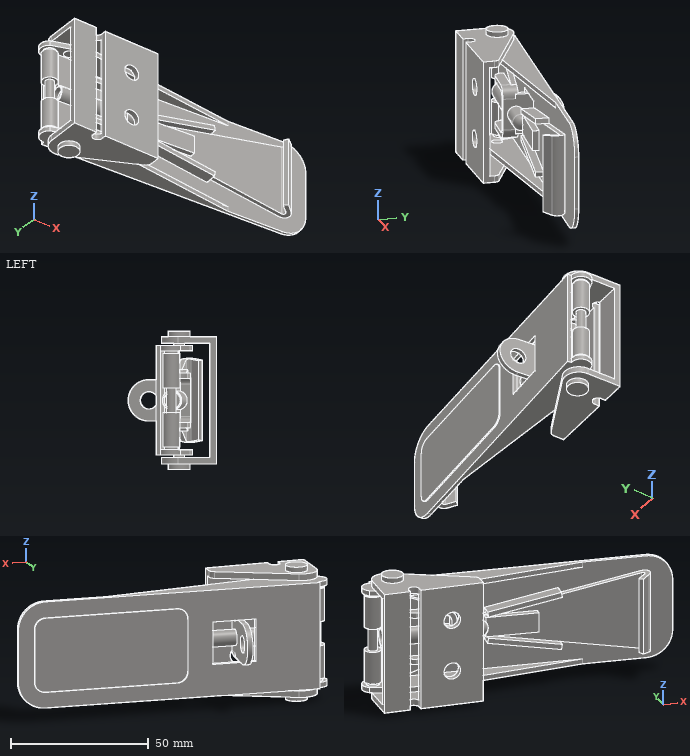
import cadquery as cq
import math


BASE_LENGTH = 38.0
BASE_WIDTH = 46.5
BASE_SHEET = 2.5
WALL_HEIGHT = 20.1
WALL_NOSE_RADIUS = 6.0
WALL_END_HEIGHT = 5.7
WALL_END_FILLET = 2.4
SLOT_X = 12.0
SLOT_WIDTH = 4.0
SLOT_HEIGHT = 4.0
SCREW_HOLE_X = 26.0
SCREW_HOLE_Z = 9.9
SCREW_HOLE_DIAMETER = 6.3

RIVET_X = 7.6
RIVET_Y = 13.6
RIVET_HEAD_DIAMETER = 8.0
RIVET_HEAD_HEIGHT = 2.0
RIVET_SHANK_DIAMETER = 4.0

PIN_X = 1.0
PIN_Y = 16.4
PIN_DIAMETER = 3.5
COLLAR_DIAMETER = 5.0

LEVER_TILT = 3.58
LEVER_WIDTH = 40.0
LEVER_START = 0
LEVER_END = 114.1
LEVER_BACK = 5.5
LEVER_SHEET = 1.5
LEVER_CORNER_RADIUS = 10.0
FLANGE_SHEET = 2.0
FLANGE_NOSE_RADIUS = 4.0
FLANGE_NOSE_END_ANGLE = 239
FLANGE_LOW_X = 12.3
FLANGE_LOW_Y = -7.2
FLANGE_LOW_FILLET = 16.5
FLANGE_TIP_X = 80.2
WINDOW_START = 24.4
WINDOW_END = 40.6
WINDOW_WIDTH = 16.0
PAD_START = 50.1
PAD_MARGIN = 6.0
PAD_HEIGHT = 0.5

BRACKET_TILT = 4.5
BRACKET_SHEET = 2.0
BARREL_DIAMETER = 6.3
BARREL_INNER_Z = 4.5
BARREL_OUTER_Z = 17.0
TAPER_START = 7.6
TAPER_END = 26.7
STIFFENER_START = 12.4
STIFFENER_END = 30.5
STIFFENER_WIDTH = 20.1
STIFFENER_BOTTOM = -4.7
STIFFENER_BEND_RADIUS = 4.1
STIFFENER_END_FILLET = 3.0
TAB_RADIUS = 7.6
TAB_HOLE_Y = 10.5
TAB_HOLE_DIAMETER = 6.3
TUBE_START = 3.1
TUBE_DIAMETER = 7.1

SCREW_DIAMETER = 6.0
SCREW_START = 5.3
SCREW_TIP = 43.3

HOOK_START = 42.5
HOOK_MIDDLE_Y = 3.5
HOOK_SHEET = 2.0
HOOK_START_WIDTH = 7.9
HOOK_END_WIDTH = 30.7
CURL_X = 101.5
CURL_INNER_RADIUS = 1.0
CURL_TURN = 135
LIP_LENGTH = 4.0
RIB_START = 43.4
RIB_END = 71.1
RIB_DEPTH = 5.0
RIB_SHEET = 2.0
BLOCK_LENGTH = 20.0
BLOCK_WIDTH = 7.6
BLOCK_HEIGHT = 2.4

LEVER_UNDERSIDE = LEVER_BACK - LEVER_SHEET
FLANGE_INNER_Z = LEVER_WIDTH / 2 - FLANGE_SHEET
HOOK_TOP = HOOK_MIDDLE_Y + HOOK_SHEET / 2
HOOK_UNDERSIDE = HOOK_MIDDLE_Y - HOOK_SHEET / 2
CURL_OUTER_RADIUS = CURL_INNER_RADIUS + HOOK_SHEET
CURL_Y = HOOK_UNDERSIDE - CURL_INNER_RADIUS
HOOK_END = CURL_X + CURL_OUTER_RADIUS
HOOK_FLARE = (HOOK_END_WIDTH - HOOK_START_WIDTH) / 2 / (HOOK_END - HOOK_START)


def on_circle(x, y, radius, angle):
    """Point on a circle about (x, y) at an angle in degrees from +X."""
    turn = math.radians(angle)
    return (x + radius * math.cos(turn), y + radius * math.sin(turn))


def box(x0, x1, y0, y1, z0, z1):
    return cq.Workplane("XY").box(x1 - x0, y1 - y0, z1 - z0, centered=False).translate((x0, y0, z0))


def disc(x, y, diameter, z0, z1):
    """Cylinder along Z."""
    return cq.Workplane("XY", origin=(x, y, z0)).circle(diameter / 2).extrude(z1 - z0)


def rod(diameter, x0, x1):
    """Cylinder along X, on the axis through the pin."""
    return cq.Workplane("YZ", origin=(x0, 0, 0)).circle(diameter / 2).extrude(x1 - x0)


def along_y(y0):
    """Workplane for plan outlines in (x, z), extruded towards +Y from y0 by a negative distance."""
    return cq.Workplane("XZ", origin=(0, y0, 0))


def hang_on_pin(body, tilt):
    """Move a body drawn around the pin axis to its place, sloping down along +X."""
    return body.rotate((0, 0, 0), (0, 0, 1), -tilt).translate((PIN_X, PIN_Y, 0))


def mirrored_pair(body):
    """A body and its mirror image on the other side of Z = 0."""
    return cq.Workplane(cq.Compound.makeCompound([body.val(), body.mirror("XY").val()]))


def make_base():
    nose_y = WALL_HEIGHT - WALL_NOSE_RADIUS
    reach = BASE_LENGTH - WALL_NOSE_RADIUS
    drop = nose_y - WALL_END_HEIGHT
    slope = math.degrees(math.asin(WALL_NOSE_RADIUS / math.hypot(reach, drop)) + math.atan2(drop, reach))
    tangent = on_circle(WALL_NOSE_RADIUS, nose_y, WALL_NOSE_RADIUS, 90 - slope)
    nose_middle = on_circle(WALL_NOSE_RADIUS, nose_y, WALL_NOSE_RADIUS, 135 - slope / 2)
    base = (
        cq.Workplane("XY")
        .moveTo(0, 0)
        .lineTo(0, nose_y)
        .threePointArc(nose_middle, tangent)
        .lineTo(BASE_LENGTH, WALL_END_HEIGHT)
        .lineTo(BASE_LENGTH, 0)
        .close()
        .extrude(BASE_WIDTH / 2, both=True)
    )
    far_top = cq.selectors.NearestToPointSelector((BASE_LENGTH, WALL_END_HEIGHT, 0))
    base = base.edges(far_top).fillet(WALL_END_FILLET)

    inner_z = BASE_WIDTH / 2 - BASE_SHEET
    base = base.cut(box(0, BASE_LENGTH, BASE_SHEET, WALL_HEIGHT, -inner_z, inner_z))

    slot_round_y = SLOT_HEIGHT - SLOT_WIDTH / 2
    slot = disc(SLOT_X, slot_round_y, SLOT_WIDTH, -BASE_WIDTH / 2, BASE_WIDTH / 2)
    slot = slot.union(
        box(SLOT_X - SLOT_WIDTH / 2, SLOT_X + SLOT_WIDTH / 2, 0, slot_round_y, -BASE_WIDTH / 2, BASE_WIDTH / 2)
    )
    base = base.cut(slot)

    screw_holes = (
        along_y(0)
        .pushPoints([(SCREW_HOLE_X, -SCREW_HOLE_Z), (SCREW_HOLE_X, SCREW_HOLE_Z)])
        .circle(SCREW_HOLE_DIAMETER / 2)
        .extrude(-BASE_SHEET)
    )
    base = base.cut(screw_holes)

    outer_z = BASE_WIDTH / 2
    head = disc(RIVET_X, RIVET_Y, RIVET_HEAD_DIAMETER, outer_z, outer_z + RIVET_HEAD_HEIGHT)
    shank = disc(RIVET_X, RIVET_Y, RIVET_SHANK_DIAMETER, FLANGE_INNER_Z, outer_z)
    return base.union(mirrored_pair(head.union(shank)))


def make_lever():
    plate = box(LEVER_START, LEVER_END, LEVER_UNDERSIDE, LEVER_BACK, -LEVER_WIDTH / 2, LEVER_WIDTH / 2)
    plate = plate.edges("|Y and >X").fillet(LEVER_CORNER_RADIUS)
    plate = plate.cut(
        box(WINDOW_START, WINDOW_END, LEVER_UNDERSIDE, LEVER_BACK, -WINDOW_WIDTH / 2, WINDOW_WIDTH / 2)
    )

    pad_z = LEVER_WIDTH / 2 - PAD_MARGIN
    pad = box(PAD_START, LEVER_END - PAD_MARGIN, LEVER_BACK, LEVER_BACK + PAD_HEIGHT, -pad_z, pad_z)
    pad = pad.edges("|Y").fillet(LEVER_CORNER_RADIUS - PAD_MARGIN)

    flange = (
        cq.Workplane("XY", origin=(0, 0, FLANGE_INNER_Z))
        .moveTo(FLANGE_TIP_X, FLANGE_NOSE_RADIUS)
        .lineTo(0, FLANGE_NOSE_RADIUS)
        .threePointArc(
            (-FLANGE_NOSE_RADIUS, 0),
            on_circle(0, 0, FLANGE_NOSE_RADIUS, FLANGE_NOSE_END_ANGLE),
        )
        .lineTo(FLANGE_LOW_X, FLANGE_LOW_Y)
        .close()
        .extrude(FLANGE_SHEET)
    )
    flange = flange.edges("|Z and <Y").fillet(FLANGE_LOW_FILLET)
    collar = disc(0, 0, COLLAR_DIAMETER, BARREL_OUTER_Z, FLANGE_INNER_Z)
    pin = disc(0, 0, PIN_DIAMETER, -FLANGE_INNER_Z, FLANGE_INNER_Z)
    lever = plate.union(pad).union(mirrored_pair(flange)).union(mirrored_pair(collar)).union(pin)
    lever = hang_on_pin(lever, LEVER_TILT)

    rivet_holes = disc(RIVET_X, RIVET_Y, RIVET_SHANK_DIAMETER, -LEVER_WIDTH / 2, LEVER_WIDTH / 2)
    return lever.cut(rivet_holes)


def make_bracket():
    plate_top = BRACKET_SHEET / 2
    half_width = STIFFENER_WIDTH / 2
    plate = (
        along_y(-plate_top)
        .polyline(
            [
                (0, BARREL_OUTER_Z),
                (TAPER_START, BARREL_OUTER_Z),
                (TAPER_END, half_width),
                (TAPER_END, -half_width),
                (TAPER_START, -BARREL_OUTER_Z),
                (0, -BARREL_OUTER_Z),
            ]
        )
        .close()
        .extrude(-BRACKET_SHEET)
    )
    notch = box(0, TUBE_START, -plate_top, plate_top, -BARREL_INNER_Z, BARREL_INNER_Z)
    barrel = disc(0, 0, BARREL_DIAMETER, BARREL_INNER_Z, BARREL_OUTER_Z)

    outer = box(STIFFENER_START, STIFFENER_END, STIFFENER_BOTTOM, plate_top, -half_width, half_width)
    outer = outer.edges("|Y and >X").fillet(STIFFENER_BEND_RADIUS)
    outer = outer.edges("|Z and <X and <Y").fillet(STIFFENER_END_FILLET)
    inner_z = half_width - BRACKET_SHEET
    web_start = STIFFENER_END - BRACKET_SHEET
    hollow = box(STIFFENER_START, web_start, STIFFENER_BOTTOM, -plate_top, -inner_z, inner_z)
    hollow = hollow.edges("|Y and >X").fillet(STIFFENER_BEND_RADIUS - BRACKET_SHEET)
    stiffener = outer.cut(hollow)

    tab = box(web_start, STIFFENER_END, 0, TAB_HOLE_Y, -TAB_RADIUS, TAB_RADIUS)
    eye = cq.Workplane("YZ", origin=(web_start, TAB_HOLE_Y, 0))
    tab = tab.union(eye.circle(TAB_RADIUS).extrude(BRACKET_SHEET))
    tab = tab.cut(eye.circle(TAB_HOLE_DIAMETER / 2).extrude(BRACKET_SHEET))

    bracket = plate.cut(notch).union(mirrored_pair(barrel)).union(stiffener).union(tab)
    bracket = bracket.union(rod(TUBE_DIAMETER, TUBE_START, web_start))
    bracket = bracket.cut(rod(SCREW_DIAMETER, TUBE_START, STIFFENER_END))
    bracket = bracket.cut(disc(0, 0, PIN_DIAMETER, -BARREL_OUTER_Z, BARREL_OUTER_Z))
    return hang_on_pin(bracket, BRACKET_TILT)


def make_screw():
    screw = rod(SCREW_DIAMETER, SCREW_START, SCREW_TIP)
    screw = screw.intersect(
        rod(SCREW_DIAMETER, SCREW_START, SCREW_TIP - SCREW_DIAMETER / 2).union(
            cq.Workplane("XY").sphere(SCREW_DIAMETER / 2).translate((SCREW_TIP - SCREW_DIAMETER / 2, 0, 0))
        )
    )
    return hang_on_pin(screw, BRACKET_TILT)


def make_hook(screw):
    lip_angle = 90 - CURL_TURN
    mid_angle = 90 - CURL_TURN / 2
    outer_end = on_circle(CURL_X, CURL_Y, CURL_OUTER_RADIUS, lip_angle)
    inner_end = on_circle(CURL_X, CURL_Y, CURL_INNER_RADIUS, lip_angle)
    lip_outer = on_circle(*outer_end, LIP_LENGTH, lip_angle - 90)
    lip_inner = on_circle(*inner_end, LIP_LENGTH, lip_angle - 90)
    strip = (
        cq.Workplane("XY")
        .moveTo(HOOK_START, HOOK_UNDERSIDE)
        .lineTo(HOOK_START, HOOK_TOP)
        .lineTo(CURL_X, HOOK_TOP)
        .threePointArc(on_circle(CURL_X, CURL_Y, CURL_OUTER_RADIUS, mid_angle), outer_end)
        .lineTo(*lip_outer)
        .lineTo(*lip_inner)
        .lineTo(*inner_end)
        .threePointArc(
            on_circle(CURL_X, CURL_Y, CURL_INNER_RADIUS, mid_angle), (CURL_X, HOOK_UNDERSIDE)
        )
        .close()
        .extrude(HOOK_END_WIDTH / 2, both=True)
    )
    flare = (
        along_y(lip_outer[1])
        .polyline(
            [
                (HOOK_START, HOOK_START_WIDTH / 2),
                (HOOK_END, HOOK_END_WIDTH / 2),
                (HOOK_END, -HOOK_END_WIDTH / 2),
                (HOOK_START, -HOOK_START_WIDTH / 2),
            ]
        )
        .close()
        .extrude(lip_outer[1] - HOOK_TOP)
    )
    strip = strip.intersect(flare)

    flare_angle = math.degrees(math.atan(HOOK_FLARE))
    rib_start = (RIB_START, HOOK_START_WIDTH / 2 + HOOK_FLARE * (RIB_START - HOOK_START))
    rib_end = (RIB_END, HOOK_START_WIDTH / 2 + HOOK_FLARE * (RIB_END - HOOK_START))
    rib = (
        cq.Workplane("XZ", origin=(0, HOOK_TOP, 0))
        .polyline(
            [
                rib_start,
                rib_end,
                on_circle(*rib_end, RIB_SHEET, flare_angle + 90),
                on_circle(*rib_start, RIB_SHEET, flare_angle + 90),
            ]
        )
        .close()
        .extrude(RIB_DEPTH)
    )
    block = box(
        HOOK_START,
        HOOK_START + BLOCK_LENGTH,
        HOOK_UNDERSIDE - BLOCK_HEIGHT,
        HOOK_UNDERSIDE,
        -BLOCK_WIDTH / 2,
        BLOCK_WIDTH / 2,
    )
    hook = strip.union(mirrored_pair(rib)).union(block)
    return hang_on_pin(hook, BRACKET_TILT).cut(screw)


base = make_base()
lever = make_lever()
bracket = make_bracket()
screw = make_screw()
hook = make_hook(screw)
result = cq.Compound.makeCompound([base.val(), lever.val(), bracket.val(), screw.val(), hook.val()])